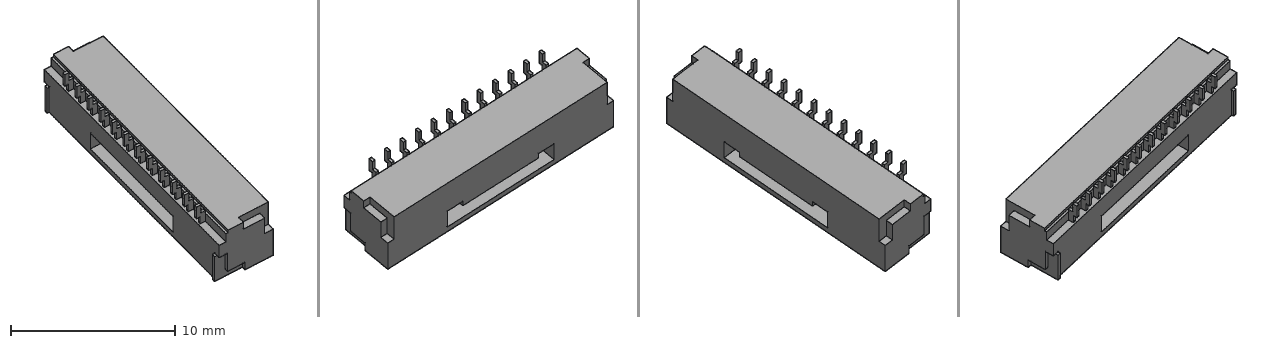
import cadquery as cq


length = 18.25
depth = 4.2
body_height = 4.25
body_front = 0.15
ledge_height = 3.32
riser_y = 0.65
groove_back_y = 0.82
groove_floor_z = 4.03

window_width = 8.63
window_bottom = 0.42
window_top = 1.8
key_width = 6.11
key_height = 0.38
key_depth = depth / 2

recess_depth = 0.51
upper_recess_y = 1.97
upper_recess_floor = 3.65
upper_recess_back = 3.55
upper_recess_bottom = 2.3
lower_recess_y = 0.77
lower_recess_top = 2.25
lower_recess_ceiling = 0.65
lower_recess_back = 2.08

plate_inset = 0.27
plate_thickness = recess_depth - plate_inset
plate_clearance = 0.05

pin_count = 12
pin_row_span = 13.75
pin_width = 0.2
pin_top = 4.95
pin_root_front = 0.27
pin_tip_back = 0.33
pin_tip_bottom = 3.92


def extrude_along_x(points, x_start, width):
    """Extrude a closed (y, z) outline from x_start towards +X."""
    return cq.Workplane("YZ").workplane(offset=x_start).polyline(points).close().extrude(width)


def box(width, y_start, y_end, z_start, z_end):
    """Box centred on x = 0."""
    return (
        cq.Workplane("XY")
        .box(width, y_end - y_start, z_end - z_start, centered=(True, False, False))
        .translate((0, y_start, z_start))
    )


def mirrored_ends(left_end):
    """Repeat a left-end shape on the right end."""
    return left_end.union(left_end.mirror("YZ"))


def make_housing():
    """Long block with a stepped upper front edge."""
    outline = [
        (body_front, 0),
        (depth, 0),
        (depth, body_height),
        (groove_back_y, body_height),
        (groove_back_y, groove_floor_z),
        (riser_y, groove_floor_z),
        (riser_y, ledge_height),
        (body_front, ledge_height),
    ]
    return extrude_along_x(outline, -length / 2, length)


def make_upper_recesses():
    """L-shaped cuts along the top and back edges of the end faces."""
    outline = [
        (upper_recess_y, body_height),
        (depth, body_height),
        (depth, upper_recess_bottom),
        (upper_recess_back, upper_recess_bottom),
        (upper_recess_back, upper_recess_floor),
        (upper_recess_y, upper_recess_floor),
    ]
    return mirrored_ends(extrude_along_x(outline, -length / 2, recess_depth))


def lower_outline(front, top):
    """L along the bottom and front edges of an end face."""
    return [
        (front, 0),
        (lower_recess_back, 0),
        (lower_recess_back, lower_recess_ceiling),
        (lower_recess_y, lower_recess_ceiling),
        (lower_recess_y, top),
        (front, top),
    ]


def make_lower_recesses():
    outline = lower_outline(body_front, lower_recess_top)
    return mirrored_ends(extrude_along_x(outline, -length / 2, recess_depth))


def make_plates():
    """Hold-down plates reaching forward past the front face to y = 0."""
    outline = lower_outline(0, lower_recess_top - plate_clearance)
    return mirrored_ends(extrude_along_x(outline, -length / 2 + plate_inset, plate_thickness))


def make_window():
    """Window through the full depth, its rear half narrowed by the key."""
    opening = box(window_width, body_front, depth, window_bottom, window_top)
    key = box(key_width, depth - key_depth, depth, window_top - key_height, window_top)
    return opening.cut(key)


def make_pin(x_centre):
    """Pin rising from the ledge, cranked forward at the housing top."""
    outline = [
        (riser_y, ledge_height),
        (riser_y, body_height),
        (pin_tip_back, body_height),
        (pin_tip_back, pin_top),
        (0, pin_top),
        (0, pin_tip_bottom),
        (pin_root_front, pin_tip_bottom),
        (pin_root_front, ledge_height),
    ]
    return extrude_along_x(outline, x_centre - pin_width / 2, pin_width)


result = make_housing().cut(make_window()).cut(make_upper_recesses()).cut(make_lower_recesses())
result = result.union(make_plates())

pin_pitch = pin_row_span / (pin_count - 1)
for index in range(pin_count):
    result = result.union(make_pin(-pin_row_span / 2 + index * pin_pitch))